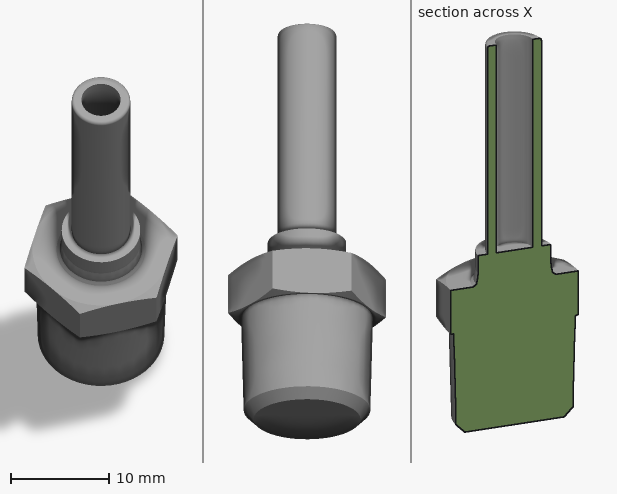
import cadquery as cq
import math

total_height = 42.4
thread_length = 11.05
hex_height = 4.9
hex_top = thread_length + hex_height
flare_height = 0.25
taper_top = 17.43
collar_top = 19.38

thread_top_diameter = 13.45
thread_end_diameter = 12.95
thread_chamfer = 1.0

hex_across_flats = 14.0
hex_across_corners = hex_across_flats / math.cos(math.radians(30))
hex_corner_drop = 0.4

flare_diameter = 9.07
taper_base_diameter = 8.4
collar_diameter = 8.0
tube_diameter = 5.98
tube_edge_radius = 0.3
bore_diameter = 4.0
bore_depth = total_height - collar_top


def make_thread_end():
    end_radius = thread_end_diameter / 2
    top_radius = thread_top_diameter / 2
    return (
        cq.Workplane("XZ")
        .lineTo(end_radius - thread_chamfer, 0)
        .lineTo(end_radius, thread_chamfer)
        .lineTo(top_radius, thread_length)
        .lineTo(0, thread_length)
        .close()
        .revolve(360, (0, 0), (0, 1))
    )


def make_hexagon():
    """Hexagonal prism whose corners are trimmed by a cone at both ends."""
    flat_radius = hex_across_flats / 2
    corner_radius = hex_across_corners / 2
    prism = (
        cq.Workplane("XY", origin=(0, 0, thread_length))
        .polygon(6, hex_across_corners)
        .extrude(hex_height)
    )
    trimming_body = (
        cq.Workplane("XZ")
        .moveTo(0, thread_length)
        .lineTo(flat_radius, thread_length)
        .lineTo(corner_radius, thread_length + hex_corner_drop)
        .lineTo(corner_radius, hex_top - hex_corner_drop)
        .lineTo(flat_radius, hex_top)
        .lineTo(0, hex_top)
        .close()
        .revolve(360, (0, 0), (0, 1))
    )
    return prism.intersect(trimming_body)


def make_collar():
    """Straight collar on a slightly tapered foot that flares out at the hexagon."""
    return (
        cq.Workplane("XZ")
        .moveTo(0, hex_top)
        .lineTo(flare_diameter / 2, hex_top)
        .lineTo(taper_base_diameter / 2, hex_top + flare_height)
        .lineTo(collar_diameter / 2, taper_top)
        .lineTo(collar_diameter / 2, collar_top)
        .lineTo(0, collar_top)
        .close()
        .revolve(360, (0, 0), (0, 1))
    )


def make_tube():
    return (
        cq.Workplane("XY", origin=(0, 0, collar_top))
        .circle(tube_diameter / 2)
        .extrude(total_height - collar_top)
        .faces(">Z")
        .edges()
        .fillet(tube_edge_radius)
    )


def make_bore():
    """Blind bore running the length of the exposed tube."""
    return (
        cq.Workplane("XY", origin=(0, 0, total_height))
        .circle(bore_diameter / 2)
        .extrude(-bore_depth)
    )


body = make_thread_end().union(make_hexagon()).union(make_collar()).union(make_tube())
result = body.cut(make_bore())